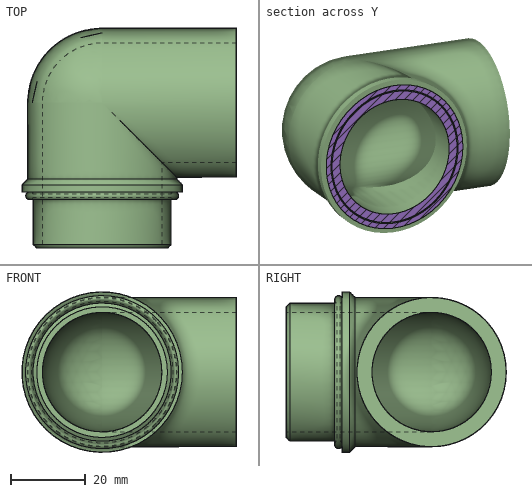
import cadquery as cq

body_diameter = 40.0
bore_diameter = 32.0
outlet_end_x = 36.0

spigot_diameter = 37.0
spigot_end = 39.0
spigot_chamfer = 1.0

collar_diameter = 43.0
collar_face = 24.0
collar_rim_width = 2.0
collar_cone_length = (collar_diameter - body_diameter) / 2
ring_diameter = 41.0
ring_front = 26.0
ring_seat_depth = 0.1

body_radius = body_diameter / 2
bore_radius = bore_diameter / 2
spigot_radius = spigot_diameter / 2
collar_radius = collar_diameter / 2
ring_section_radius = (ring_front - collar_face + ring_seat_depth) / 2
collar_rim_start = collar_face - collar_rim_width
collar_start = collar_rim_start - collar_cone_length


def cylinder_along_x(radius, length):
    return cq.Workplane("YZ").circle(radius).extrude(length)


def cylinder_along_minus_y(radius, length):
    return cq.Workplane("XZ").circle(radius).extrude(length)


def elbow(radius, outlet_length, inlet_length):
    """Ball at the origin with one leg along +X and one along -Y."""
    ball = cq.Workplane("XY").sphere(radius)
    outlet = cylinder_along_x(radius, outlet_length)
    inlet = cylinder_along_minus_y(radius, inlet_length)
    return outlet.union(inlet).union(ball)


def collar_and_spigot():
    """Turned profile around Y, drawn as radius against Y."""
    return (
        cq.Workplane("XY")
        .moveTo(0, -collar_start)
        .lineTo(body_radius, -collar_start)
        .lineTo(collar_radius, -collar_rim_start)
        .lineTo(collar_radius, -collar_face)
        .lineTo(spigot_radius, -collar_face)
        .lineTo(spigot_radius, -(spigot_end - spigot_chamfer))
        .lineTo(spigot_radius - spigot_chamfer, -spigot_end)
        .lineTo(0, -spigot_end)
        .close()
        .revolve(360, (0, 0, 0), (0, 1, 0))
    )


def sealing_ring():
    """Round ring around Y, seated slightly into the spigot and the collar face."""
    centre_radius = ring_diameter / 2 - ring_section_radius
    centre_y = -(ring_front - ring_section_radius)
    section_plane = cq.Plane(origin=(centre_radius, centre_y, 0), xDir=(-1, 0, 0), normal=(0, 0, 1))
    return (
        cq.Workplane(section_plane)
        .circle(ring_section_radius)
        .revolve(360, (centre_radius, 0, 0), (centre_radius, 1, 0))
    )


outer = elbow(body_radius, outlet_end_x, collar_start)
outer = outer.union(collar_and_spigot()).union(sealing_ring())
result = outer.cut(elbow(bore_radius, outlet_end_x, spigot_end))